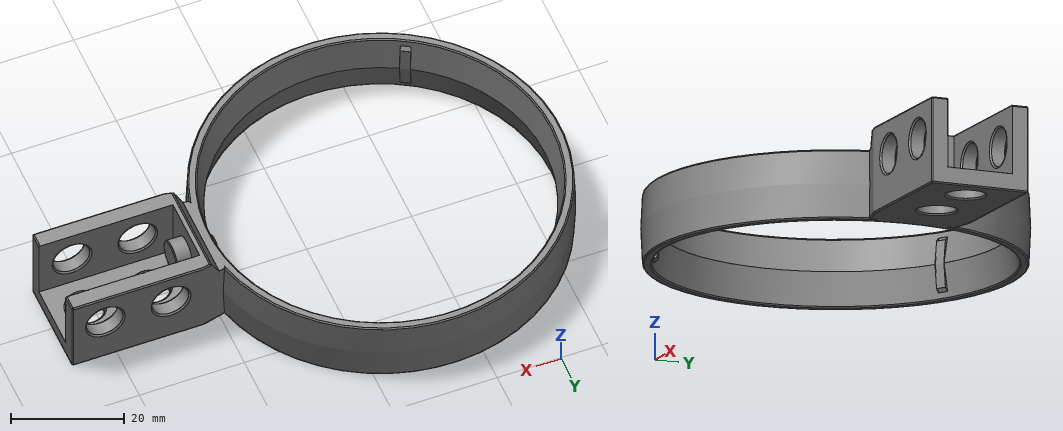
import cadquery as cq

overall_length = 96.9
ring_radius = 34.4
ring_height = 12.5
ring_middle_z = ring_height / 2
ring_bulge = 0.3
ring_edge_chamfer = 0.24
bore_waist_radius = 31.2
bore_mouth_radius = 32.5

rib_count = 3
rib_width = 1.9
rib_end_gap = 1.1
rib_end_slope = 0.9
rib_crest_radius = bore_waist_radius - 0.1
rib_end_radius = bore_waist_radius + 0.4
rib_root_radius = 32.9

wall = 3.1
slot_width = 12.5
slot_depth = 12.5
slot_start_x = 37.0
arm_end_x = overall_length - ring_radius
arm_width = slot_width + 2 * wall
arm_height = slot_depth + wall
arm_edge_chamfer = 0.24

neck_start_x = 32.9
neck_start_width = 16.5
neck_end_x = 37.4
ramp_start_x = 34.2
ramp_end_x = 35.9

hole_count = 2
hole_diameter = 7.0
hole_chamfer = 0.3
hole_spacing = 12.5
hole_end_distance = 6.3
hole_axis_z = wall + slot_depth / 2

pin_diameter = 6.3
pin_length = 3.0
pin_chamfer = 0.2


def make_ring():
    rim_radius = ring_radius - ring_bulge
    arc_middle = (-ring_radius + ring_bulge / 4, (ring_middle_z + ring_edge_chamfer) / 2)
    lower_half = (
        cq.Workplane("XZ")
        .moveTo(-ring_radius, ring_middle_z)
        .threePointArc(arc_middle, (-rim_radius, ring_edge_chamfer))
        .lineTo(-rim_radius + ring_edge_chamfer, 0)
        .lineTo(-bore_mouth_radius - ring_edge_chamfer, 0)
        .lineTo(-bore_mouth_radius, ring_edge_chamfer)
        .lineTo(-bore_waist_radius, ring_middle_z)
        .close()
        .revolve(360, (0, 0, 0), (0, 1, 0))
    )
    upper_half = lower_half.mirror("XY", (0, 0, ring_middle_z))
    return lower_half.union(upper_half)


def make_rib(angle):
    low_z = rib_end_gap
    high_z = ring_height - rib_end_gap
    rib = (
        cq.Workplane("XZ")
        .moveTo(rib_root_radius, low_z)
        .lineTo(rib_root_radius, high_z)
        .lineTo(bore_mouth_radius, high_z)
        .lineTo(rib_end_radius, high_z - rib_end_slope)
        .lineTo(rib_crest_radius, ring_middle_z)
        .lineTo(rib_end_radius, low_z + rib_end_slope)
        .lineTo(bore_mouth_radius, low_z)
        .close()
        .extrude(rib_width / 2, both=True)
    )
    return rib.rotate((0, 0, 0), (0, 0, 1), angle)


def make_arm_blank():
    side = (
        cq.Workplane("XZ")
        .moveTo(neck_start_x, 0)
        .lineTo(arm_end_x, 0)
        .lineTo(arm_end_x, arm_height)
        .lineTo(ramp_end_x, arm_height)
        .lineTo(ramp_start_x, ring_height)
        .lineTo(neck_start_x, ring_height)
        .close()
        .extrude(arm_width / 2, both=True)
    )
    plan = (
        cq.Workplane("XY")
        .moveTo(neck_start_x, -neck_start_width / 2)
        .lineTo(neck_end_x, -arm_width / 2)
        .lineTo(arm_end_x, -arm_width / 2)
        .lineTo(arm_end_x, arm_width / 2)
        .lineTo(neck_end_x, arm_width / 2)
        .lineTo(neck_start_x, neck_start_width / 2)
        .close()
        .extrude(arm_height)
    )
    return side.intersect(plan).faces("<Z or >Z or >X").edges().chamfer(arm_edge_chamfer)


def make_slot():
    slot_length = arm_end_x - slot_start_x
    slot = cq.Workplane("XY").box(slot_length, slot_width, slot_depth, centered=(False, True, False))
    return slot.translate((slot_start_x, 0, wall))


def make_hole(plane, x, offset, reach):
    return cq.Workplane(plane).center(x, offset).circle(hole_diameter / 2).extrude(reach, both=True)


def make_arm():
    arm = make_arm_blank().cut(make_slot())
    for i in range(hole_count):
        x = arm_end_x - hole_end_distance - i * hole_spacing
        arm = arm.cut(make_hole("XZ", x, hole_axis_z, arm_width))
        arm = arm.cut(make_hole("XY", x, 0, wall))
    return arm.edges("%CIRCLE").chamfer(hole_chamfer)


def make_pin():
    pin = (
        cq.Workplane("YZ", origin=(slot_start_x, 0, hole_axis_z))
        .circle(pin_diameter / 2)
        .extrude(pin_length)
    )
    return pin.faces(">X").edges().chamfer(pin_chamfer)


result = make_ring().union(make_arm()).union(make_pin())
for i in range(rib_count):
    result = result.union(make_rib(i * 360 / rib_count))